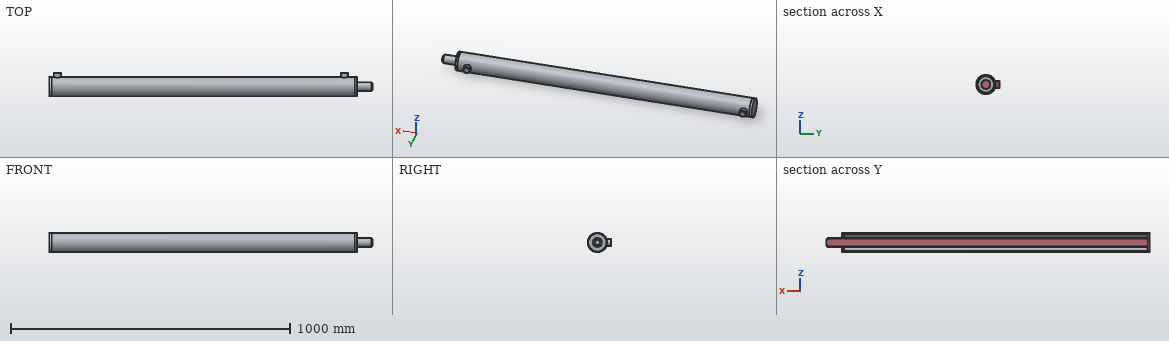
import cadquery as cq

overall_length = 1160.0
barrel_length = 1104.0
outer_diameter = 70.0
bore_diameter = 58.0
cap_thickness = 9.0
gland_chamfer = 2.0

rod_diameter = 32.0
rod_chamfer = 7.0

port_diameter = 27.0
port_chamfer = 2.0
overall_depth = 85.0
port_reach = overall_depth - outer_diameter / 2
port_positions = [30.0, 1058.0]


def rod_along_x(diameter, start, end):
    """Round bar on the X axis between two stations."""
    return cq.Workplane("YZ", origin=(start, 0, 0)).circle(diameter / 2).extrude(end - start)


def make_base_cap():
    return rod_along_x(outer_diameter, 0, cap_thickness)


def make_tube():
    start = cap_thickness
    end = barrel_length - cap_thickness
    return rod_along_x(outer_diameter, start, end).cut(rod_along_x(bore_diameter, start, end))


def make_gland():
    """End ring that guides the rod, chamfered on its outer rim."""
    start = barrel_length - cap_thickness
    ring = rod_along_x(outer_diameter, start, barrel_length)
    ring = ring.faces(">X").edges().chamfer(gland_chamfer)
    return ring.cut(rod_along_x(rod_diameter, start, barrel_length))


def make_rod():
    """Rod from the base cap out through the gland, chamfered at its free end."""
    rod = rod_along_x(rod_diameter, cap_thickness, overall_length)
    return rod.faces(">X").edges().chamfer(rod_chamfer)


def make_port(x):
    """Round boss on the +Y side, saddled onto the outside of the tube."""
    boss = cq.Workplane("XZ", origin=(x, 0, 0)).circle(port_diameter / 2).extrude(-port_reach)
    boss = boss.faces(">Y").edges().chamfer(port_chamfer)
    return boss.cut(rod_along_x(outer_diameter, 0, barrel_length))


base_cap = make_base_cap()
tube = make_tube()
gland = make_gland()
rod = make_rod()
ports = [make_port(x).val() for x in port_positions]

result = cq.Compound.makeCompound([base_cap.val(), tube.val(), gland.val(), rod.val(), *ports])